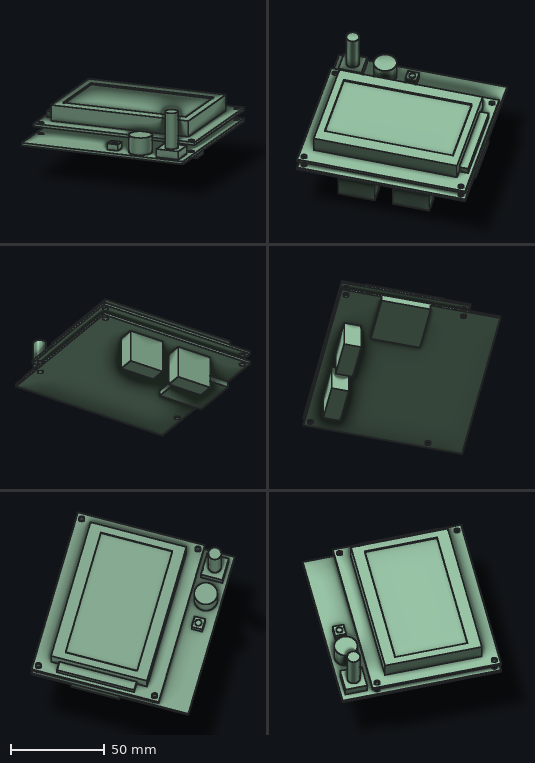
import cadquery as cq


BOARD_WIDTH = 93.5
MAIN_BOARD_DEPTH = 87.5
DISPLAY_BOARD_DEPTH = 71.0
BOARD_THICKNESS = 1.6
BOARD_GAP = 4.6
DISPLAY_FRONT_Y = MAIN_BOARD_DEPTH - DISPLAY_BOARD_DEPTH
DISPLAY_BOTTOM_Z = BOARD_GAP
DISPLAY_TOP_Z = DISPLAY_BOTTOM_Z + BOARD_THICKNESS

HOLE_DIAMETER = 3.0
HOLE_INSET = 3.1

BEZEL_WIDTH = 79.7
BEZEL_DEPTH = 53.5
BEZEL_HEIGHT = 8.9
BEZEL_FRONT_Y = 25.0
SCREEN_WIDTH = 71.25
SCREEN_DEPTH = 39.9
SCREEN_FRONT_Y = 31.6
SCREEN_RECESS = 0.9
BEZEL_LEFT_X = (BOARD_WIDTH - BEZEL_WIDTH) / 2
SCREEN_LEFT_X = (BOARD_WIDTH - SCREEN_WIDTH) / 2

STRIP_LEFT_X = 2.0
STRIP_FRONT_Y = 30.8
STRIP_DEPTH = 43.1
STRIP_HEIGHT = 3.4

CONTROLS_Y = 8.3
BUTTON_X = 50.5
BUTTON_WIDTH = 6.2
BUTTON_DEPTH = 6.0
BUTTON_HEIGHT = 3.5
BUTTON_CAP_DIAMETER = 3.5
BUTTON_CAP_HEIGHT = 0.4
BUZZER_X = 65.5
BUZZER_DIAMETER = 12.5
BUZZER_HEIGHT = 9.6
ENCODER_X = 83.6
ENCODER_WIDTH = 12.7
ENCODER_DEPTH = 12.0
ENCODER_HEIGHT = BOARD_GAP
SHAFT_DIAMETER = 7.0
SHAFT_TOP_Z = 24.7

SOCKET_LEFT_XS = (21.6, 51.9)
SOCKET_FRONT_Y = 72.0
SOCKET_WIDTH = 20.4
SOCKET_DEPTH = 9.35
SOCKET_HEIGHT = 19.0
CARD_SLOT_FRONT_Y = 38.5
CARD_SLOT_WIDTH = 26.3
CARD_SLOT_DEPTH = 27.0
CARD_SLOT_HEIGHT = 3.5


def block(left_x, front_y, bottom_z, width, depth, height):
    """Box placed by its left, front, bottom corner."""
    return cq.Workplane("XY").box(width, depth, height, centered=False).translate((left_x, front_y, bottom_z))


def centred_block(x, y, bottom_z, width, depth, height):
    """Box standing on bottom_z, centred on x and y."""
    return block(x - width / 2, y - depth / 2, bottom_z, width, depth, height)


def cylinder(x, y, bottom_z, diameter, height):
    """Vertical cylinder standing on bottom_z."""
    return cq.Workplane("XY", origin=(x, y, bottom_z)).circle(diameter / 2).extrude(height)


def board(front_y, bottom_z, depth):
    """Circuit board with the four shared mounting holes."""
    plate = block(0, front_y, bottom_z, BOARD_WIDTH, depth, BOARD_THICKNESS)
    for x in (HOLE_INSET, BOARD_WIDTH - HOLE_INSET):
        for y in (DISPLAY_FRONT_Y + HOLE_INSET, MAIN_BOARD_DEPTH - HOLE_INSET):
            plate = plate.cut(cylinder(x, y, bottom_z, HOLE_DIAMETER, BOARD_THICKNESS))
    return plate


def button():
    """Square push button with a low round cap."""
    base = centred_block(BUTTON_X, CONTROLS_Y, 0, BUTTON_WIDTH, BUTTON_DEPTH, BUTTON_HEIGHT)
    cap = cylinder(BUTTON_X, CONTROLS_Y, BUTTON_HEIGHT, BUTTON_CAP_DIAMETER, BUTTON_CAP_HEIGHT)
    return base.union(cap)


def encoder():
    """Rotary encoder: rectangular base and tall shaft."""
    base = centred_block(ENCODER_X, CONTROLS_Y, 0, ENCODER_WIDTH, ENCODER_DEPTH, ENCODER_HEIGHT)
    shaft = cylinder(ENCODER_X, CONTROLS_Y, ENCODER_HEIGHT, SHAFT_DIAMETER, SHAFT_TOP_Z - ENCODER_HEIGHT)
    return base.union(shaft)


def make_main_board():
    """Lower board with its controls above and connectors below."""
    body = board(0, -BOARD_THICKNESS, MAIN_BOARD_DEPTH)
    body = body.union(button())
    body = body.union(cylinder(BUZZER_X, CONTROLS_Y, 0, BUZZER_DIAMETER, BUZZER_HEIGHT))
    body = body.union(encoder())
    for left_x in SOCKET_LEFT_XS:
        socket_bottom_z = -BOARD_THICKNESS - SOCKET_HEIGHT
        body = body.union(
            block(left_x, SOCKET_FRONT_Y, socket_bottom_z, SOCKET_WIDTH, SOCKET_DEPTH, SOCKET_HEIGHT)
        )
    slot_bottom_z = -BOARD_THICKNESS - CARD_SLOT_HEIGHT
    return body.union(
        block(0, CARD_SLOT_FRONT_Y, slot_bottom_z, CARD_SLOT_WIDTH, CARD_SLOT_DEPTH, CARD_SLOT_HEIGHT)
    )


def make_display():
    """Upper board with the bezel, recessed screen and backlight strip."""
    bezel = block(BEZEL_LEFT_X, BEZEL_FRONT_Y, DISPLAY_TOP_Z, BEZEL_WIDTH, BEZEL_DEPTH, BEZEL_HEIGHT)
    screen_z = DISPLAY_TOP_Z + BEZEL_HEIGHT - SCREEN_RECESS
    recess = block(SCREEN_LEFT_X, SCREEN_FRONT_Y, screen_z, SCREEN_WIDTH, SCREEN_DEPTH, SCREEN_RECESS)
    strip_width = BEZEL_LEFT_X - STRIP_LEFT_X
    strip = block(STRIP_LEFT_X, STRIP_FRONT_Y, DISPLAY_TOP_Z, strip_width, STRIP_DEPTH, STRIP_HEIGHT)
    plate = board(DISPLAY_FRONT_Y, DISPLAY_BOTTOM_Z, DISPLAY_BOARD_DEPTH)
    return plate.union(bezel.cut(recess)).union(strip)


main_board = make_main_board()
display = make_display()

result = cq.Compound.makeCompound([main_board.solids().val(), display.solids().val()])